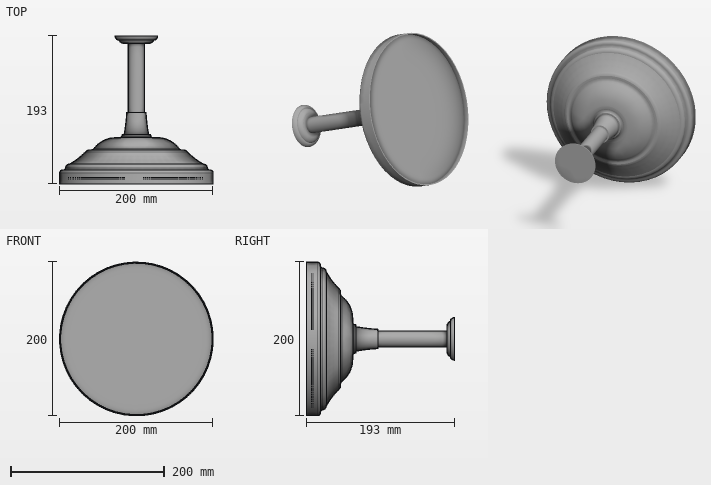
import cadquery as cq


rim_radius = 100.0
rim_length = 14.5
rim_round = 4.0
recess_radius = 98.5
plate_recess = 6.5
plate_thickness = 2.0

rim_shoulder_y = rim_length + rim_round
outer_step_radius = 92.5
outer_cove = 2.8
outer_step_y = rim_shoulder_y + outer_cove
outer_bead_mid = (90.8, 24.5)
outer_bead_end = (87.0, 26.0)

flank_mid = (76.0, 33.2)
flank_end = (66.5, 41.5)

shoulder_mid = (64.5, 43.5)
shoulder_end = (62.5, 44.5)
inner_cove_start_radius = 58.8
inner_cove_mid = (57.0, 45.0)
dome_start = (55.5, 46.5)

dome_mid = (45.0, 55.5)
dome_top_radius = 26.0
dome_top_y = 60.5

collar_cove_radius = 22.0
collar_cove_mid = (19.8, 61.0)
collar_base = (19.0, 62.0)
collar_top_radius = 18.5
collar_top_y = 64.5
neck_base_radius = 16.0
neck_mid = (13.8, 79.0)
neck_top_radius = 12.5
neck_top_y = 93.0

arm_radius = 10.5
wall_y = 193.0
flange_length = 10.0
flange_front_y = wall_y - flange_length
flange_radius = 27.8
flange_bead_mid = (26.8, 189.8)
flange_bead_end_radius = 24.0
flange_step_y = 187.5
flange_step_radius = 22.8
flange_nose_mid = (20.5, 184.5)
flange_nose_radius = 16.8


def turn(profile):
    """Revolve a closed (radius, Y) profile about the Y axis."""
    return profile.close().revolve(360, (0, 0, 0), (0, 1, 0))


def disc(radius, start_y, length):
    """Solid cylinder along Y that starts at start_y."""
    return turn(
        cq.Workplane("XY")
        .moveTo(0, start_y)
        .lineTo(radius, start_y)
        .lineTo(radius, start_y + length)
        .lineTo(0, start_y + length)
    )


def make_head():
    """Bell and neck in one piece, with a front recess that seats the face plate."""
    seat_y = plate_recess + plate_thickness
    profile = (
        cq.Workplane("XY")
        .moveTo(0, seat_y)
        .lineTo(recess_radius, seat_y)
        .lineTo(recess_radius, 0)
        .lineTo(rim_radius, 0)
        .lineTo(rim_radius, rim_length)
        .radiusArc((rim_radius - rim_round, rim_shoulder_y), -rim_round)
        .lineTo(outer_step_radius + outer_cove, rim_shoulder_y)
        .radiusArc((outer_step_radius, outer_step_y), outer_cove)
        .threePointArc(outer_bead_mid, outer_bead_end)
        .threePointArc(flank_mid, flank_end)
        .threePointArc(shoulder_mid, shoulder_end)
        .lineTo(inner_cove_start_radius, shoulder_end[1])
        .threePointArc(inner_cove_mid, dome_start)
        .threePointArc(dome_mid, (dome_top_radius, dome_top_y))
        .lineTo(collar_cove_radius, dome_top_y)
        .threePointArc(collar_cove_mid, collar_base)
        .lineTo(collar_top_radius, collar_top_y)
        .lineTo(neck_base_radius, collar_top_y)
        .threePointArc(neck_mid, (neck_top_radius, neck_top_y))
        .lineTo(0, neck_top_y)
    )
    return turn(profile)


def make_face_plate():
    """Thin disc set back inside the rim."""
    return disc(recess_radius, plate_recess, plate_thickness)


def make_arm():
    """Straight arm between the neck and the wall flange."""
    return disc(arm_radius, neck_top_y, flange_front_y - neck_top_y)


def make_flange():
    """Wall flange with two rounded steps."""
    profile = (
        cq.Workplane("XY")
        .moveTo(0, flange_front_y)
        .lineTo(flange_nose_radius, flange_front_y)
        .threePointArc(flange_nose_mid, (flange_step_radius, flange_step_y))
        .lineTo(flange_bead_end_radius, flange_step_y)
        .threePointArc(flange_bead_mid, (flange_radius, wall_y))
        .lineTo(0, wall_y)
    )
    return turn(profile)


head = make_head()
face_plate = make_face_plate()
arm = make_arm()
flange = make_flange()

result = cq.Compound.makeCompound([head.val(), face_plate.val(), arm.val(), flange.val()])